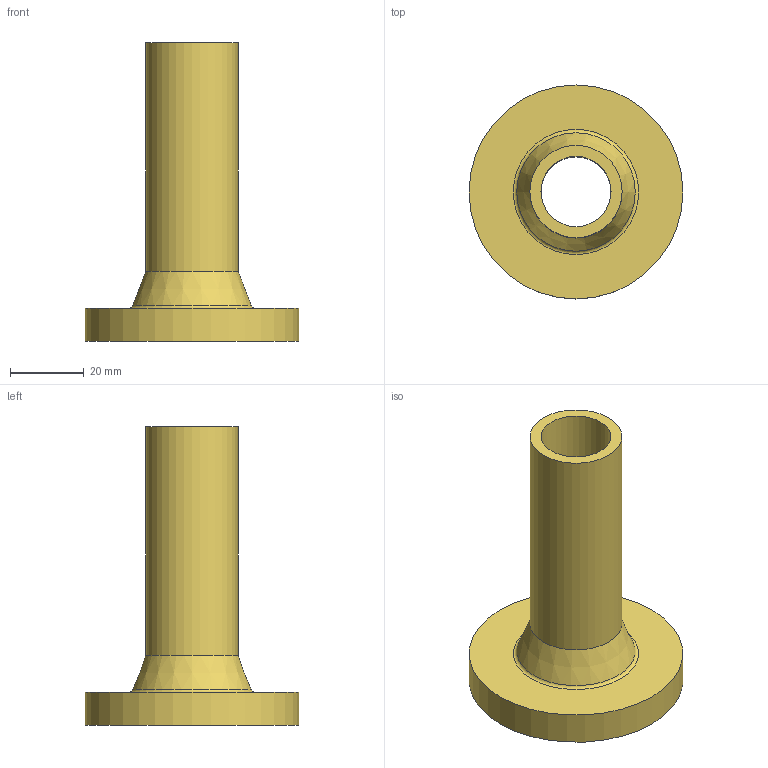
import cadquery as cq
import math

flange_diameter = 58.0
flange_thickness = 9.0

overall_height = 81.0
tube_diameter = 25.0
bore_diameter = 19.0

neck_top_height = 19.0
neck_base_diameter = 32.6
neck_fillet_radius = 1.0

flange_radius = flange_diameter / 2
tube_radius = tube_diameter / 2
bore_radius = bore_diameter / 2
neck_base_radius = neck_base_diameter / 2

neck_angle = math.atan2(neck_base_radius - tube_radius, neck_top_height - flange_thickness)
fillet_tangent_length = neck_fillet_radius * math.tan(math.pi / 4 - neck_angle / 2)
fillet_center_radius = neck_base_radius + fillet_tangent_length
fillet_center_height = flange_thickness + neck_fillet_radius


def on_fillet(angle):
    """Point on the fillet arc, at an angle below the inward radial direction."""
    return (
        fillet_center_radius - neck_fillet_radius * math.cos(angle),
        fillet_center_height - neck_fillet_radius * math.sin(angle),
    )


def make_profile():
    """Half section in the XZ plane, from the bore wall out to the flange rim."""
    return (
        cq.Workplane("XZ")
        .moveTo(bore_radius, 0)
        .lineTo(flange_radius, 0)
        .lineTo(flange_radius, flange_thickness)
        .lineTo(*on_fillet(math.pi / 2))
        .threePointArc(on_fillet((math.pi / 2 + neck_angle) / 2), on_fillet(neck_angle))
        .lineTo(tube_radius, neck_top_height)
        .lineTo(tube_radius, overall_height)
        .lineTo(bore_radius, overall_height)
        .close()
    )


result = make_profile().revolve(360, (0, 0, 0), (0, 1, 0))